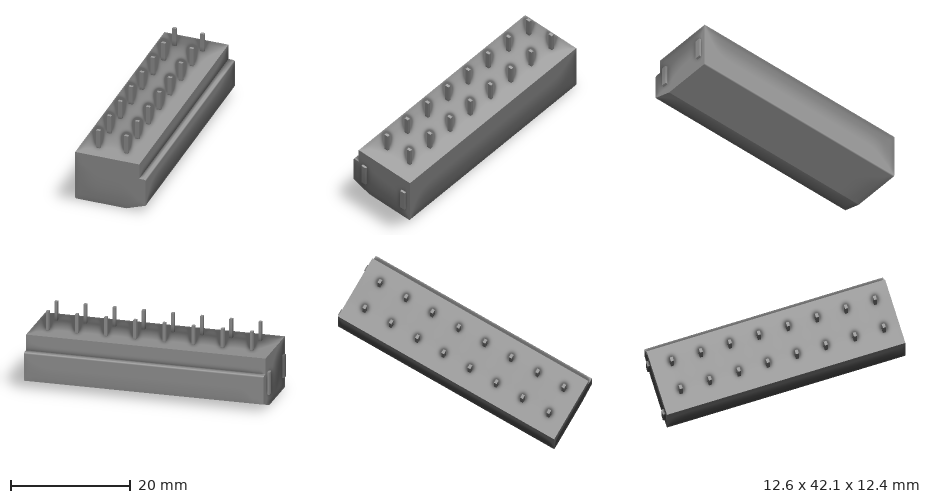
import cadquery as cq

housing_width = 12.6
housing_length = 41.7
housing_height = 9.0
top_width = 11.45
step_height = 6.25
bevel_start = 9.15
bevel_height = 1.22
edge_radius = 0.25

pin_rows = 2
pins_per_row = 8
pin_row_length = 35.52
pin_pitch = pin_row_length / (pins_per_row - 1)
pin_row_spacing = 5.0
pin_width = 0.7
pin_depth = 0.5
pin_height = 3.37
first_pin_x = 3.1
first_pin_y = 2.82

rib_width = 0.93
rib_thickness = 0.42
rib_bottom = 2.28
rib_height = step_height - rib_bottom
rib_centers_x = (1.35, 10.05)


def block(width, depth, height, x, y, z):
    """Box centered on x and y, standing on height z."""
    box = cq.Workplane("XY").box(width, depth, height, centered=(True, True, False))
    return box.translate((x, y, z))


def make_housing():
    profile = [
        (0, 0),
        (bevel_start, 0),
        (housing_width, bevel_height),
        (housing_width, step_height),
        (top_width, step_height),
        (top_width, housing_height),
        (0, housing_height),
    ]
    body = cq.Workplane("XZ").polyline(profile).close().extrude(-housing_length)
    mid_y = housing_length / 2
    for x, z in ((0, 0), (housing_width, step_height)):
        edge = cq.selectors.NearestToPointSelector((x, mid_y, z))
        body = body.edges(edge).fillet(edge_radius)
    return body


result = make_housing()

for row in range(pin_rows):
    for place in range(pins_per_row):
        pin_x = first_pin_x + row * pin_row_spacing
        pin_y = first_pin_y + place * pin_pitch
        pin = block(pin_width, pin_depth, pin_height, pin_x, pin_y, housing_height)
        result = result.union(pin)

for rib_x in rib_centers_x:
    rib_y = housing_length + rib_thickness / 2
    rib = block(rib_width, rib_thickness, rib_height, rib_x, rib_y, rib_bottom)
    result = result.union(rib)